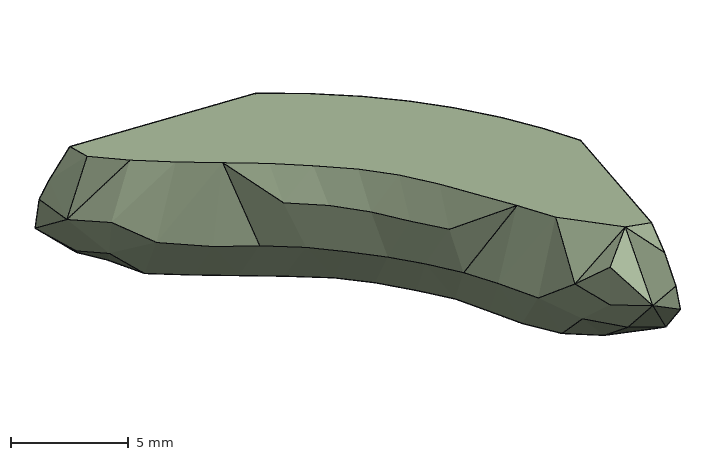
import cadquery as cq
import math

TOP_HEIGHT = 2.4
TOP_SLOPE = 0.21
BOTTOM_HEIGHT = -2.95
BOTTOM_SLOPE = 0.13

END_HALF_WIDTH = 11.23
END_LEAN = 0.14

BACK_ARCS = [(-3.85, 4.87, 29.7), (0.7, 3.45, 47.55), (3.85, 4.6, 25.85)]
BLANK_BACK_Y = 5.95
BLANK_FRONT_Y = -5.95
BLANK_HALF_WIDTH = 16.35

STEP_LEAD = 0.48


def on_top(x, y):
    return (x, y, TOP_HEIGHT + TOP_SLOPE * y)


def on_bottom(x, y):
    return (x, y, BOTTOM_HEIGHT + BOTTOM_SLOPE * y)


def on_end(side, y, z):
    """Point on the left (side = -1) or right (side = 1) end plane."""
    return (side * (END_HALF_WIDTH - y - END_LEAN * z), y, z)


def top_corner(side, y):
    return on_end(side, y, TOP_HEIGHT + TOP_SLOPE * y)


def bottom_corner(side, y):
    return on_end(side, y, BOTTOM_HEIGHT + BOTTOM_SLOPE * y)


def strip(upper, lower):
    """Triangles that join two rails, both running from left to right."""
    triangles = []
    i = 0
    j = 0
    while i < len(upper) - 1 or j < len(lower) - 1:
        upper_done = i == len(upper) - 1
        lower_done = j == len(lower) - 1
        if lower_done or (not upper_done and upper[i + 1][0] <= lower[j + 1][0] + STEP_LEAD):
            triangles.append((upper[i], lower[j], upper[i + 1]))
            i += 1
        else:
            triangles.append((upper[i], lower[j], lower[j + 1]))
            j += 1
    return triangles


def planar_face(points):
    corners = [cq.Vector(*point) for point in points]
    return cq.Face.makeFromWires(cq.Wire.makePolygon(corners, close=True))


top_rail = [
    on_top(x, y)
    for x, y in [
        (-12.55, -3.12), (-10.65, -2.95), (-8.68, -2.58), (-6.7, -2.15), (-4.75, -1.7),
        (-2.85, -1.4), (-0.9, -1.15), (0.98, -1.15), (2.95, -1.4), (4.93, -1.78),
        (6.8, -2.15), (8.75, -2.58), (11.95, -2.55),
    ]
]
saddle_rail = [
    (-3.77, -2.5, 0.68), (-1.87, -2.05, 0.68), (0.0, -1.87, 0.6), (1.87, -2.05, 0.5), (3.77, -2.32, 0.5),
]
crease_rail = [
    (-13.07, -4.07, -0.85), (-10.9, -4.35, -0.6), (-9.03, -3.85, -1.4), (-6.7, -3.18, -1.5),
    (-4.85, -2.55, -1.4), (-2.85, -2.2, -1.3), (-1.07, -2.02, -1.3), (0.8, -1.95, -1.3),
    (2.58, -2.1, -1.3), (4.5, -2.47, -1.3), (6.35, -3.12, -1.3), (8.5, -3.85, -1.4),
    (10.37, -4.35, -0.33),
]
bottom_rail = [
    on_bottom(x, y)
    for x, y in [
        (-12.0, -2.15), (-10.0, -2.82), (-7.95, -2.35), (-6.1, -1.85), (-4.22, -1.35),
        (-2.15, -0.85), (-0.27, -0.77), (1.7, -0.92), (3.57, -1.15), (5.38, -1.78),
        (7.15, -2.4), (9.12, -2.75), (10.9, -2.4),
    ]
]

left_edge = [
    top_corner(-1, -2.58),
    on_end(-1, -3.12, 0.42),
    on_end(-1, -3.35, -0.42),
    on_end(-1, -3.35, -1.75),
    bottom_corner(-1, -1.87),
]
right_edge = [
    top_corner(1, -1.95),
    on_end(1, -2.75, 1.05),
    on_end(1, -3.35, -0.15),
    on_end(1, -3.48, -1.13),
    on_end(1, -1.95, -2.65),
    bottom_corner(1, -1.15),
]


def middle_facets():
    """Facets of the long hollow middle of the front."""
    first = 3
    last = 10
    saddle_top = top_rail[first:last + 1]
    brow = top_rail[:first + 1] + saddle_rail + top_rail[last:-1]
    return (
        strip(saddle_top, saddle_rail)
        + strip(brow, crease_rail)
        + strip(crease_rail[2:-1], bottom_rail[1:-1])
    )


def left_facets():
    """Facets of the rounded left nose."""
    top, shoulder, cheek, jaw, foot = left_edge
    outer, inner, root = crease_rail[:3]
    heel, sole = bottom_rail[:2]
    inner_chin = (-11.3, -3.65, -2.3)
    outer_chin = (-13.07, -3.03, -2.65)
    return [
        (top, shoulder, top_rail[0]),
        (shoulder, outer, top_rail[0]),
        (shoulder, cheek, outer),
        (cheek, jaw, outer),
        (jaw, outer_chin, outer),
        (outer_chin, inner_chin, outer),
        (outer, inner_chin, inner),
        (inner, inner_chin, root),
        (inner_chin, sole, root),
        (jaw, foot, outer_chin),
        (foot, heel, outer_chin),
        (outer_chin, heel, inner_chin),
        (heel, sole, inner_chin),
    ]


def right_facets():
    """Facets of the rounded right nose."""
    top, shoulder, cheek, tip, jaw, foot = right_edge
    root, inner = crease_rail[-2:]
    brow = top_rail[-1]
    sole, heel = bottom_rail[-2:]
    upper_cheek = (11.9, -4.15, 0.6)
    lower_cheek = (11.9, -4.13, -1.13)
    outer = (13.8, -3.95, -0.95)
    outer_chin = (12.45, -3.48, -2.3)
    inner_chin = (10.45, -3.7, -2.1)
    return [
        (top_rail[-2], inner, brow),
        (brow, inner, upper_cheek),
        (inner, lower_cheek, upper_cheek),
        (upper_cheek, lower_cheek, outer),
        (brow, upper_cheek, outer),
        (brow, outer, cheek),
        (brow, cheek, shoulder),
        (brow, shoulder, top),
        (outer, tip, cheek),
        (root, inner_chin, inner),
        (inner, inner_chin, lower_cheek),
        (lower_cheek, inner_chin, outer_chin),
        (lower_cheek, outer_chin, outer),
        (outer, jaw, tip),
        (outer, outer_chin, jaw),
        (outer_chin, foot, jaw),
        (root, sole, inner_chin),
        (inner_chin, sole, heel),
        (inner_chin, heel, outer_chin),
        (outer_chin, heel, foot),
    ]


def faceted_blank():
    """Block with the faceted front, closed by flat top, bottom, ends and back."""
    left_top = top_corner(-1, BLANK_BACK_Y)
    right_top = top_corner(1, BLANK_BACK_Y)
    left_bottom = bottom_corner(-1, BLANK_BACK_Y)
    right_bottom = bottom_corner(1, BLANK_BACK_Y)
    outlines = middle_facets() + left_facets() + right_facets()
    outlines += [
        [left_top, left_edge[0]] + top_rail + [right_edge[0], right_top],
        [left_bottom, left_edge[-1]] + bottom_rail + [right_edge[-1], right_bottom],
        left_edge + [left_bottom, left_top],
        right_edge + [right_bottom, right_top],
        [left_top, right_top, right_bottom, left_bottom],
    ]
    shell = cq.Shell.makeShell([planar_face(outline) for outline in outlines])
    return cq.Workplane(obj=cq.Solid.makeSolid(shell))


def grooved_back():
    """Body whose back is two ruled flanks between three arcs, meeting in the V groove."""
    outline = cq.Workplane("XY").workplane(offset=BACK_ARCS[0][0])
    previous_z = BACK_ARCS[0][0]
    for z, crest_y, radius in BACK_ARCS:
        side_y = crest_y - radius + math.sqrt(radius**2 - BLANK_HALF_WIDTH**2)
        outline = (
            outline.workplane(offset=z - previous_z)
            .moveTo(-BLANK_HALF_WIDTH, BLANK_FRONT_Y)
            .lineTo(BLANK_HALF_WIDTH, BLANK_FRONT_Y)
            .lineTo(BLANK_HALF_WIDTH, side_y)
            .threePointArc((0, crest_y), (-BLANK_HALF_WIDTH, side_y))
            .close()
        )
        previous_z = z
    return outline.loft(ruled=True, combine=True)


result = faceted_blank().intersect(grooved_back())